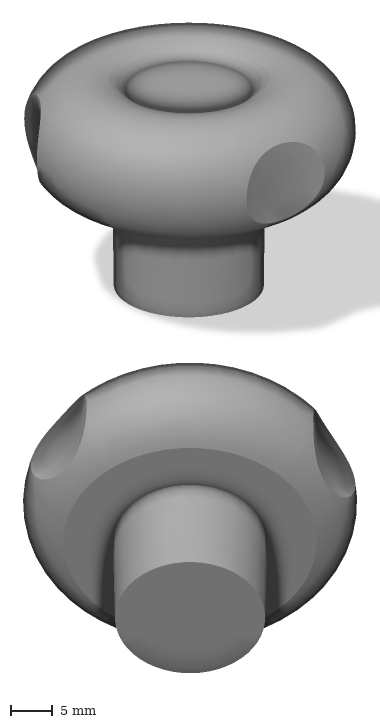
import cadquery as cq
import math

total_height = 28.0
head_diameter = 40.0
rim_diameter = 15.0
dish_diameter = 15.0
underside_drop = 7.0

head_radius = head_diameter / 2
rim_radius = rim_diameter / 2
dish_radius = dish_diameter / 2
rim_center_radius = head_radius - rim_radius
rim_center_height = total_height - rim_radius

stem_foot_diameter = 18.0
stem_draft_angle = 1.0

stem_height = rim_center_height - underside_drop
stem_foot_radius = stem_foot_diameter / 2
stem_top_radius = stem_foot_radius + stem_height * math.tan(math.radians(stem_draft_angle))

scallop_count = 3
scallop_radius = 16.0
scallop_floor_radius = 18.0
scallop_center_radius = scallop_floor_radius + scallop_radius
first_scallop_angle = 90.0


def make_body():
    """Revolve the head and the stem together about the Z axis."""
    dish_rise = math.sqrt(rim_radius**2 - (rim_center_radius - dish_radius) ** 2)
    dish_height = rim_center_height + dish_rise
    underside_radius = rim_center_radius + math.sqrt(rim_radius**2 - underside_drop**2)
    profile = (
        cq.Workplane("XZ")
        .lineTo(stem_foot_radius, 0)
        .lineTo(stem_top_radius, stem_height)
        .lineTo(underside_radius, stem_height)
        .threePointArc((rim_center_radius, total_height), (dish_radius, dish_height))
        .lineTo(0, dish_height)
        .close()
    )
    return profile.revolve(360, (0, 0, 0), (0, 1, 0))


def make_scallop_cutters():
    """Upright cylinders that cut the finger scallops."""
    return (
        cq.Workplane("XY")
        .polarArray(scallop_center_radius, first_scallop_angle, 360, scallop_count)
        .circle(scallop_radius)
        .extrude(total_height)
    )


result = make_body().cut(make_scallop_cutters())